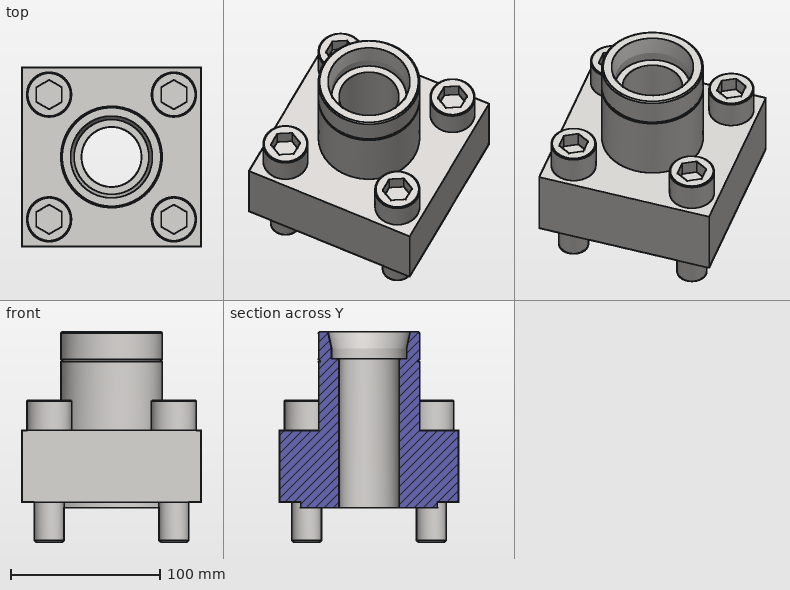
import cadquery as cq
import math

flange_side = 120.0
flange_thickness = 48.0
flange_bottom = 27.0
flange_top = flange_bottom + flange_thickness

total_height = 141.0
neck_diameter = 68.0
neck_chamfer = 1.0
spigot_diameter = 92.0
spigot_height = 4.0

collar_height = 18.6
groove_width = 1.4
groove_depth = 1.4

bore_diameter = 40.0
socket_diameter = 50.0
socket_depth = 18.0
mouth_diameter = 54.8
mouth_depth = 11.3

screw_spacing = 83.5
shank_diameter = 20.0
tip_chamfer = 1.4
head_diameter = 30.0
head_height = 20.2
head_chamfer = 0.7
hex_across_flats = 17.0
hex_depth = 10.0


def cylinder(diameter, bottom, top):
    """Upright cylinder on the Z axis between two heights."""
    return cq.Workplane("XY").workplane(offset=bottom).circle(diameter / 2).extrude(top - bottom)


def make_flange():
    block = cq.Workplane("XY").workplane(offset=flange_bottom)
    block = block.rect(flange_side, flange_side).extrude(flange_thickness)
    spigot = cylinder(spigot_diameter, flange_bottom - spigot_height, flange_top)
    return block.union(spigot)


def make_neck():
    neck = cylinder(neck_diameter, flange_bottom, total_height)
    neck = neck.faces(">Z").edges().chamfer(neck_chamfer)
    neck_radius = neck_diameter / 2
    groove_top = total_height - collar_height
    groove = (
        cq.Workplane("XZ")
        .moveTo(neck_radius, groove_top)
        .lineTo(neck_radius - groove_depth, groove_top - groove_width)
        .lineTo(neck_radius, groove_top - groove_width)
        .close()
        .revolve(360, (0, 0, 0), (0, 1, 0))
    )
    return neck.cut(groove)


def make_bore():
    socket_floor = total_height - socket_depth
    mouth_floor = total_height - mouth_depth
    through_bore = cylinder(bore_diameter, 0, total_height)
    socket = cylinder(socket_diameter, socket_floor, total_height)
    mouth = (
        cq.Workplane("XY")
        .workplane(offset=mouth_floor)
        .circle(socket_diameter / 2)
        .workplane(offset=mouth_depth)
        .circle(mouth_diameter / 2)
        .loft(ruled=True)
    )
    return through_bore.union(socket).union(mouth)


def make_screw():
    head_top = flange_top + head_height
    shank = cylinder(shank_diameter, 0, flange_top)
    shank = shank.faces("<Z").edges().chamfer(tip_chamfer)
    head = cylinder(head_diameter, flange_top, head_top)
    head = head.faces(">Z").edges().chamfer(head_chamfer)
    hex_across_corners = hex_across_flats / math.cos(math.radians(30))
    hex_socket = (
        cq.Workplane("XY")
        .workplane(offset=head_top - hex_depth)
        .transformed(rotate=(0, 0, 90))
        .polygon(6, hex_across_corners)
        .extrude(hex_depth)
    )
    return shank.union(head).cut(hex_socket)


result = make_flange().union(make_neck()).cut(make_bore())

screw = make_screw()
for x_side in (-1, 1):
    for y_side in (-1, 1):
        screw_position = (x_side * screw_spacing / 2, y_side * screw_spacing / 2, 0)
        result = result.union(screw.translate(screw_position))